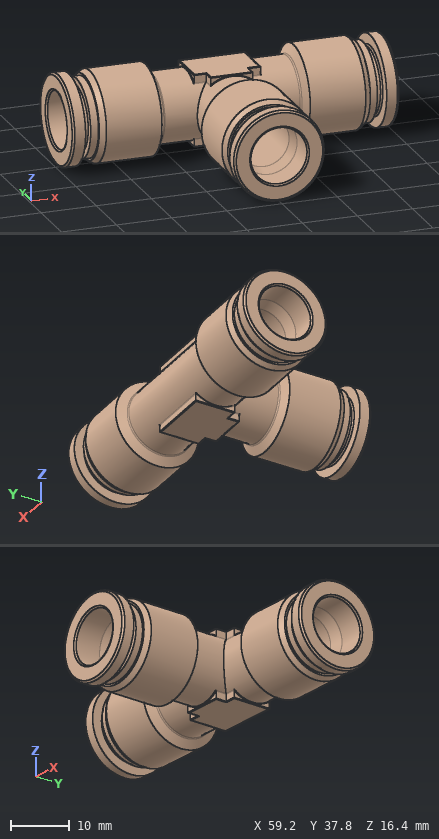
import cadquery as cq
arm_length = 59.2 / 2

collar_chamfer = 0.35
collar_width = 2.3
neck_chamfer = 0.3
neck_end = 3.6
ring_end = 5.05
sleeve_chamfer_length = 1.05
sleeve_chamfer_depth = 0.65
sleeve_end = 16.15
shoulder_end = 17.15

sleeve_radius = 16.4 / 2
neck_radius = 6.0
ring_radius = 7.15
tube_radius = 6.35
shoulder_fillet = 0.3

passage_radius = 4.5
socket_radius = 5.1
socket_depth = 5.3
seat_length = 2.35
mouth_chamfer = 0.3

pad_height = 6.6
pad_half_width = 6.05
pad_half_depth = 3.85
pad_stem_half_width = 3.85
pad_stem_reach = 6.05
pad_chamfer = 0.1
pad_fillet = 0.09


def turned(outline):
    """Solid turned about Y from (station, radius) points, from the open end at -Y to the origin."""
    profile = cq.Workplane("XY").moveTo(0, -arm_length)
    for station, radius in outline:
        profile = profile.lineTo(radius, station - arm_length)
    return profile.lineTo(0, 0).close().revolve(360, (0, 0, 0), (0, 1, 0))


def arm_body():
    """Solid arm turned about Y, from the origin to its open end at -Y."""
    outline = [
        (0, sleeve_radius - collar_chamfer),
        (collar_chamfer, sleeve_radius),
        (collar_width, sleeve_radius),
        (collar_width, neck_radius + neck_chamfer),
        (collar_width + neck_chamfer, neck_radius),
        (neck_end, neck_radius),
        (neck_end, ring_radius),
        (ring_end, ring_radius),
        (ring_end, sleeve_radius - sleeve_chamfer_depth),
        (ring_end + sleeve_chamfer_length, sleeve_radius),
        (sleeve_end, sleeve_radius),
        (shoulder_end, tube_radius),
        (arm_length, tube_radius),
    ]
    shoulder_foot = cq.selectors.BoxSelector(
        (-sleeve_radius, shoulder_end - arm_length - shoulder_fillet, -sleeve_radius),
        (sleeve_radius, shoulder_end - arm_length + shoulder_fillet, sleeve_radius),
    )
    return turned(outline).edges("%CIRCLE").edges(shoulder_foot).fillet(shoulder_fillet)


def arm_bore():
    """Stepped bore to be cut from an arm along -Y."""
    outline = [
        (0, socket_radius + mouth_chamfer),
        (mouth_chamfer, socket_radius),
        (socket_depth, socket_radius),
        (socket_depth + seat_length, passage_radius),
        (arm_length, passage_radius),
    ]
    return turned(outline)


def pads():
    """T-shaped block whose top and bottom faces stand proud of the tubes."""
    bar = cq.Workplane("XY").box(2 * pad_half_width, 2 * pad_half_depth, 2 * pad_height)
    stem = (
        cq.Workplane("XY")
        .box(2 * pad_stem_half_width, pad_stem_reach, 2 * pad_height)
        .translate((0, -pad_stem_reach / 2, 0))
    )
    return bar.union(stem).faces("<Z or >Z").chamfer(pad_chamfer)


def pad_feet():
    """Selector for edges where the pad walls meet the tubes, above and below."""
    lower_corner = (-pad_half_width - pad_fillet, -pad_stem_reach - pad_fillet)
    upper_corner = (pad_half_width + pad_fillet, pad_half_depth + pad_fillet)
    above = cq.selectors.BoxSelector((*lower_corner, passage_radius), (*upper_corner, tube_radius))
    below = cq.selectors.BoxSelector((*lower_corner, -tube_radius), (*upper_corner, -passage_radius))
    return above + below


def along_each_arm(arm):
    """Three copies of an arm feature, turned to -X, -Y and +X and joined."""
    left, right = (arm.rotate((0, 0, 0), (0, 0, 1), angle) for angle in (-90, 90))
    return arm.union(left).union(right)


body = along_each_arm(arm_body()).union(pads())
body = body.edges("not |Z").edges(pad_feet()).fillet(pad_fillet)
result = body.cut(along_each_arm(arm_bore()))